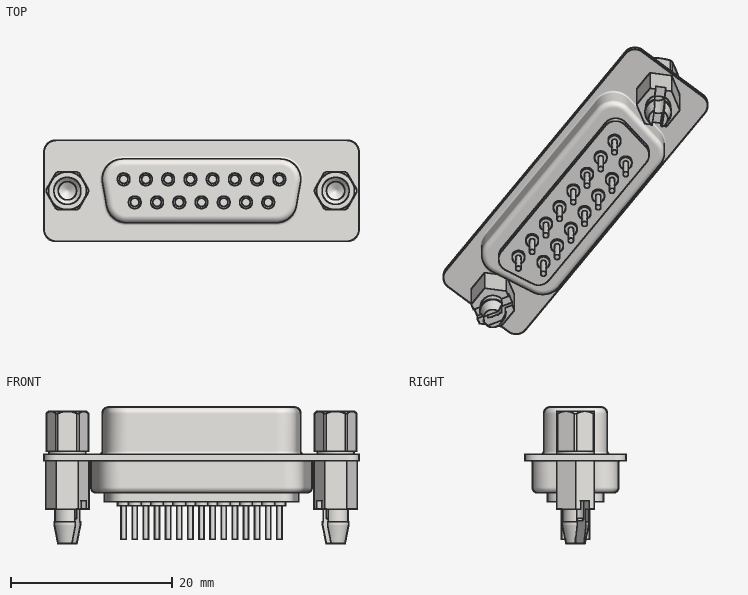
import cadquery as cq
import math

FLANGE_LENGTH = 39.15
FLANGE_WIDTH = 12.55
FLANGE_THICKNESS = 0.82
FLANGE_CORNER_RADIUS = 1.5

D_SIDE_ANGLE = math.radians(10)
FRONT_SHELL_HALF_WIDTH = 12.33
FRONT_SHELL_HALF_DEPTH = 3.95
FRONT_SHELL_CORNER_RADIUS = 2.5
FRONT_SHELL_TOP = 6.7
FRONT_SHELL_EDGE_RADIUS = 0.82
FRONT_SHELL_FOOT_RADIUS = 0.35
REAR_SHELL_HALF_WIDTH = 13.75
REAR_SHELL_HALF_DEPTH = 5.35
REAR_SHELL_CORNER_RADIUS = 2.55
REAR_SHELL_BOTTOM = -4.0
REAR_SHELL_EDGE_RADIUS = 0.7
REAR_SHELL_FOOT_RADIUS = 0.2
FOOT_ZONE_MARGIN = 0.2
BLOCK_HALF_WIDTH = 12.1
BLOCK_HALF_DEPTH = 3.5
BLOCK_CORNER_RADIUS = 1.6
BLOCK_BOTTOM = -5.1

LONG_ROW_COUNT = 8
LONG_ROW_LENGTH = 19.35
CONTACT_PITCH = LONG_ROW_LENGTH / (LONG_ROW_COUNT - 1)
ROW_SPACING = 2.85
SOCKET_DIAMETER = 1.05
SOCKET_RADIUS = SOCKET_DIAMETER / 2
SOCKET_MOUTH_RADIUS = 0.8
SOCKET_DEPTH = 3.15
COLLAR_RADIUS = 0.8
COLLAR_HEIGHT = 0.5
PIN_RADIUS = 0.333
PIN_BOTTOM = -9.75

FASTENER_SPACING = 33.3
HEX_ACROSS_FLATS = 4.7
BORE_RADIUS = 1.15

NUT_BOTTOM = 1.17
NUT_TOP = 6.15
NUT_CORNER_RADIUS = 2.62
NUT_CHAMFER = 0.27
NUT_NECK_RADIUS = 2.3
NUT_MOUTH_RADIUS = 1.7
NUT_BORE_DEPTH = 3.9
NUT_DRILL_TIP_DEPTH = 0.65

POST_BOTTOM = -6.0
PEG_RADIUS = 1.55
LIP_TOP = -7.6
LIP_BOTTOM = -7.95
LIP_RADIUS = 1.65
PEG_TIP_RADIUS = 1.17
PEG_BOTTOM = -10.3
SLOT_WIDTH = 1.25
SLOT_TOP = -4.95
SLOT_ANGLE = 30
LOCK_BORE_BOTTOM = -7.45
LOCK_BORE_CHAMFER = 0.3


def d_prism(half_width, half_depth, radius, height):
    """Rounded trapezoid, wider on the +Y side, extruded from Z = 0."""
    center_x = half_width - radius
    side_slope = math.tan(D_SIDE_ANGLE)
    wide_x = center_x + radius * (1 / math.cos(D_SIDE_ANGLE) + side_slope)
    narrow_x = wide_x - 2 * half_depth * side_slope
    return (
        cq.Workplane("XY")
        .polyline([
            (-wide_x, half_depth),
            (wide_x, half_depth),
            (narrow_x, -half_depth),
            (-narrow_x, -half_depth),
        ])
        .close()
        .extrude(height)
        .edges("|Z")
        .fillet(radius)
    )


def disc(radius, bottom, top):
    return cq.Workplane("XY").workplane(offset=bottom).circle(radius).extrude(top - bottom)


def revolved(profile):
    """Turn a closed (radius, Z) profile about the Z axis."""
    return cq.Workplane("XZ").polyline(profile).close().revolve(360, (0, 0), (0, 1))


def hex_prism(bottom, top):
    """Hexagon with two corners on the X axis."""
    across_corners = HEX_ACROSS_FLATS / math.cos(math.pi / 6)
    return cq.Workplane("XY").workplane(offset=bottom).polygon(6, across_corners).extrude(top - bottom)


def foot_fillet(body, level, radius):
    """Fillet where a shell meets the flange face at the given height."""
    zone_x = REAR_SHELL_HALF_WIDTH + FOOT_ZONE_MARGIN
    zone_y = REAR_SHELL_HALF_DEPTH + FOOT_ZONE_MARGIN
    foot_zone = cq.selectors.BoxSelector(
        (-zone_x, -zone_y, level - FOOT_ZONE_MARGIN),
        (zone_x, zone_y, level + FOOT_ZONE_MARGIN),
    )
    return body.edges(foot_zone).fillet(radius)


def flange_and_shells():
    flange = (
        cq.Workplane("XY")
        .box(FLANGE_LENGTH, FLANGE_WIDTH, FLANGE_THICKNESS, centered=(True, True, False))
        .edges("|Z")
        .fillet(FLANGE_CORNER_RADIUS)
    )
    front_shell = d_prism(
        FRONT_SHELL_HALF_WIDTH, FRONT_SHELL_HALF_DEPTH, FRONT_SHELL_CORNER_RADIUS, FRONT_SHELL_TOP
    )
    front_shell = front_shell.faces(">Z").edges().fillet(FRONT_SHELL_EDGE_RADIUS)
    rear_shell = d_prism(
        REAR_SHELL_HALF_WIDTH, REAR_SHELL_HALF_DEPTH, REAR_SHELL_CORNER_RADIUS, REAR_SHELL_BOTTOM
    )
    rear_shell = rear_shell.faces("<Z").edges().fillet(REAR_SHELL_EDGE_RADIUS)
    block = d_prism(BLOCK_HALF_WIDTH, BLOCK_HALF_DEPTH, BLOCK_CORNER_RADIUS, BLOCK_BOTTOM)

    body = flange.union(front_shell).union(rear_shell)
    body = foot_fillet(body, FLANGE_THICKNESS, FRONT_SHELL_FOOT_RADIUS)
    body = foot_fillet(body, 0, REAR_SHELL_FOOT_RADIUS)
    return body.union(block)


def contact_positions():
    rows = [(LONG_ROW_COUNT, ROW_SPACING / 2), (LONG_ROW_COUNT - 1, -ROW_SPACING / 2)]
    return [
        ((i - (count - 1) / 2) * CONTACT_PITCH, y)
        for count, y in rows
        for i in range(count)
    ]


def contact_pin():
    collar_bottom = BLOCK_BOTTOM - COLLAR_HEIGHT
    collar = disc(COLLAR_RADIUS, collar_bottom, BLOCK_BOTTOM)
    return collar.union(disc(PIN_RADIUS, PIN_BOTTOM, BLOCK_BOTTOM))


def contact_socket():
    mouth_depth = SOCKET_MOUTH_RADIUS - SOCKET_RADIUS
    bottom = FRONT_SHELL_TOP - SOCKET_DEPTH
    return revolved([
        (0, bottom),
        (SOCKET_RADIUS, bottom),
        (SOCKET_RADIUS, FRONT_SHELL_TOP - mouth_depth),
        (SOCKET_MOUTH_RADIUS, FRONT_SHELL_TOP),
        (0, FRONT_SHELL_TOP),
    ])


def jack_nut():
    """Hexagonal nut with turned-down corners on a round neck."""
    turned_envelope = disc(NUT_CORNER_RADIUS, NUT_BOTTOM, NUT_TOP).faces(">Z").chamfer(NUT_CHAMFER)
    nut = hex_prism(NUT_BOTTOM, NUT_TOP).intersect(turned_envelope)
    neck = disc(NUT_NECK_RADIUS, FLANGE_THICKNESS, NUT_BOTTOM)
    bore_bottom = NUT_TOP - NUT_BORE_DEPTH
    mouth_depth = NUT_MOUTH_RADIUS - BORE_RADIUS
    bore = revolved([
        (0, bore_bottom - NUT_DRILL_TIP_DEPTH),
        (BORE_RADIUS, bore_bottom),
        (BORE_RADIUS, NUT_TOP - mouth_depth),
        (NUT_MOUTH_RADIUS, NUT_TOP),
        (0, NUT_TOP),
    ])
    return nut.union(neck).cut(bore)


def board_lock():
    """Hexagonal post with a split, barbed peg bored from above."""
    post = hex_prism(POST_BOTTOM, 0)
    peg = revolved([
        (0, POST_BOTTOM),
        (PEG_RADIUS, POST_BOTTOM),
        (PEG_RADIUS, LIP_TOP),
        (LIP_RADIUS, LIP_TOP),
        (LIP_RADIUS, LIP_BOTTOM),
        (PEG_TIP_RADIUS, PEG_BOTTOM),
        (0, PEG_BOTTOM),
    ])
    slot_length = 2 * HEX_ACROSS_FLATS
    slot = (
        cq.Workplane("XY")
        .workplane(offset=PEG_BOTTOM)
        .rect(slot_length, SLOT_WIDTH)
        .extrude(SLOT_TOP - PEG_BOTTOM)
        .rotate((0, 0, 0), (0, 0, 1), SLOT_ANGLE)
    )
    bore = disc(BORE_RADIUS, LOCK_BORE_BOTTOM, 0).faces("<Z").chamfer(LOCK_BORE_CHAMFER)
    return post.union(peg).cut(slot).cut(bore)


result = flange_and_shells()

pin = contact_pin()
socket = contact_socket()
for x, y in contact_positions():
    result = result.union(pin.translate((x, y, 0)))
    result = result.cut(socket.translate((x, y, 0)))

for fastener in (jack_nut(), board_lock()):
    right_fastener = fastener.translate((FASTENER_SPACING / 2, 0, 0))
    result = result.union(right_fastener).union(right_fastener.mirror("YZ"))